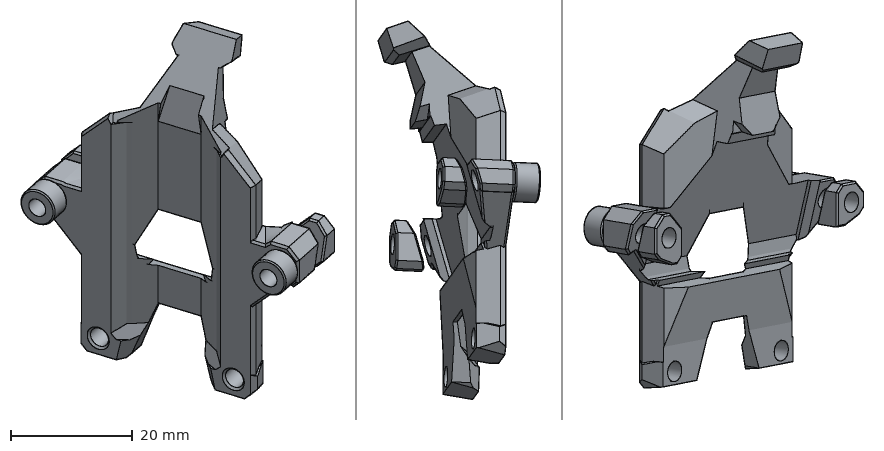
import cadquery as cq
import math

FAR = 80.0
TILT = math.tan(math.radians(16))

PLATE_HALF_WIDTH = 16.55
PLATE_SHOULDER_Z = 41.0
PLATE_TOP_Z = 46.3
SIDE_DRAFT = 15.5
CROWN_DRAFT = 23.0
EDGE_DEPTH = 1.0
EDGE_BEVEL = 25.0
CROWN_HALF_WIDTH = 9.8
NECK_HALF_WIDTH = 6.9
NECK_Z = 47.5
BACK_EDGE_Y = 4.85
BACK_EDGE_X = 15.5
BACK_SLOPE = 0.3

FLOOR_Y = 4.5
FLOOR_HALF_WIDTH = 4.08
SIDE_FOOT_X = 7.8
GROOVE_X = 8.55
CHANNEL_HALF_WIDTH = 10.45
GROOVE_Y = CHANNEL_HALF_WIDTH - GROOVE_X
SIDE_SLOPE = 0.588
SIDE_FOOT_Y = FLOOR_Y - SIDE_SLOPE * (SIDE_FOOT_X - FLOOR_HALF_WIDTH)
GROOVE_TOP_Z = 44.9
GROOVE_END_Z = 4.8
FOOT_FRONT_Z = 3.9

BROW_OFFSET = 44.15
HEAD_TOP_Z = 58.48
HEAD_BACK_Y = 17.74
POCKET_TOP_Z = 51.0
POCKET_FOOT_Z = 45.1
POCKET_TOP_HALF_WIDTH = 3.25

SEAT_Y = 4.5
SEAT_Z = 28.2
SEAT_HALF_WIDTH = 18.9
SEAT_STEP_Y = 12.7
SEAT_STEP_Z = 42.1

LEG_HOLE_X = 12.85
LEG_HOLE_Z = 3.1
BRIDGE_Z = 10.2
LUG_HALF_WIDTH = 16.8

BOLT_X = 22.0
BOLT_Z = 27.55
HOLE_D = 3.4
HOLE_CHAMFER = 0.4
EAR_BACK_Y = 7.36
EAR_BACK_Z = 31.4
EAR_OUTER_X = 25.2
EAR_CHAMFER = 0.4
BACK_CHAMFER = 0.3
HOUSING_SLOPE = -0.4
WEB_OFFSET = 1.6
WEB_TOP_Z = 30.7
HOUSING_X = 19.8
EARS = [(-1, 30.85, 26.3, 19.3), (1, 31.55, 25.2, 18.8)]

SPACER_D = 6.5
SPACER_BORE = 3.2
SPACER_LENGTH = 4.2
SPACER_CHAMFER = 0.25

NUT_BACK_Y = 12.1
NUT_FRONT_Y = 9.6
NUT_CHAMFER = 0.3
NUT_LEFT = [(18.6, 29.6), (19.85, 30.85), (23.2, 30.85), (25.2, 28.85), (25.2, 26.3),
            (24.1, 25.2), (20.6, 23.8), (18.6, 23.8)]
NUT_RIGHT = [(18.7, 28.7), (21.55, 31.55), (23.25, 31.55), (25.2, 29.6), (25.2, 25.2),
             (24.1, 24.1), (21.1, 22.9), (19.8, 22.9), (18.7, 24.0)]


def along_x(points, half_width):
    """Prism along X from (y, z) points, centred on X = 0."""
    return cq.Workplane("YZ").polyline(points).close().extrude(half_width, both=True)


def along_y(points, y_start, y_end):
    """Prism along Y from (x, z) points."""
    plane = cq.Workplane("XZ", origin=(0, y_start, 0))
    return plane.polyline(points).close().extrude(y_start - y_end)


def along_z(points, z_start, z_end):
    """Prism along Z from (x, y) points."""
    plane = cq.Workplane("XY", origin=(0, 0, z_start))
    return plane.polyline(points).close().extrude(z_end - z_start)


def mirrored(half):
    """Closed outline from its right half, listed from one end of the mirror axis to the other."""
    return half + [(-x, v) for x, v in reversed(half)]


def bore(x, z, diameter):
    """Cutter along Y with a chamfered mouth on the front face."""
    hole = cq.Workplane("XZ", origin=(x, -FAR / 2, z)).circle(diameter / 2).extrude(-FAR)
    mouth = (
        cq.Workplane("XZ", origin=(x, 0, z))
        .circle(diameter / 2 + HOLE_CHAMFER)
        .workplane(offset=-HOLE_CHAMFER)
        .circle(diameter / 2)
        .loft(ruled=True)
    )
    return hole.union(mouth)


def leaning_y(y, z, at_z):
    """Y of a face that leans by TILT and passes through (y, z)."""
    return y + TILT * (at_z - z)


def drafted_plate(outline, draft):
    """Thick plate from an (x, z) outline that narrows to the back and has a bevelled front edge."""
    plane = cq.Workplane("XZ", origin=(0, EDGE_DEPTH, 0))
    back = plane.polyline(outline).close().extrude(-10, taper=draft)
    front = plane.polyline(outline).close().extrude(EDGE_DEPTH, taper=EDGE_BEVEL)
    return back.union(front)


def plate_body():
    sides = mirrored([(PLATE_HALF_WIDTH, -5), (PLATE_HALF_WIDTH, FAR)])
    run_out = 20
    crown = mirrored([
        (PLATE_HALF_WIDTH + run_out, -FAR),
        (PLATE_HALF_WIDTH + run_out, PLATE_SHOULDER_Z - run_out),
        (PLATE_HALF_WIDTH - (PLATE_TOP_Z - PLATE_SHOULDER_Z), PLATE_TOP_Z),
        (4.0, 50.2),
    ])
    block = drafted_plate(sides, SIDE_DRAFT).intersect(drafted_plate(crown, CROWN_DRAFT))
    ridge_y = BACK_EDGE_Y + BACK_SLOPE * BACK_EDGE_X
    roof_x = 20
    roof_y = ridge_y - BACK_SLOPE * roof_x
    roof = along_z([(-roof_x, 0), (roof_x, 0), (roof_x, roof_y), (0, ridge_y), (-roof_x, roof_y)], -6, FAR)
    return block.intersect(roof)


def lower_back_cut():
    return along_x([(BACK_EDGE_Y, -10), (BACK_EDGE_Y, 7.5), (6.2, 17.1), (FAR, 17.1), (FAR, -10)], FAR)


def lug(side):
    block = along_y(
        [(side * x, z) for x, z in [(13, -1), (LUG_HALF_WIDTH, -1), (LUG_HALF_WIDTH, 4.3), (16, 5), (13, 5)]],
        0, BACK_EDGE_Y)
    slope = along_z([(side * x, y) for x, y in [(12, 0), (16.15, 0), (LUG_HALF_WIDTH, 1.2),
                                                (15.7, BACK_EDGE_Y), (12, BACK_EDGE_Y)]], -2, 6)
    return block.intersect(slope)


def foot_cut():
    """Trims the feet below a bottom face that rises toward the back."""
    return along_x([(-1, -10), (-1, -0.18), (0, 0), (BACK_EDGE_Y, 0.87), (FAR, 14), (FAR, -10)], FAR)


def leg_opening():
    return along_y(mirrored([(9.4, -10), (8.3, 0.1), (7.5, 0.9), (6.1, 4.7), (FLOOR_HALF_WIDTH, BRIDGE_Z)]),
                   -1, FAR)


def foot_corner(side):
    return along_y([(side * x, z) for x, z in [(15, 0), (20, 5), (20, -10), (15, -10)]], -1, FAR)


def foot_inner_bevel(side):
    """45 degree bevel on the inner front edge of a foot, leaning inward as it rises."""
    foot_x = 9.4
    rise = 3.9
    run = 0.85
    plane = cq.Plane(origin=(side * foot_x, 0, 0), xDir=(side * rise, 0, run), normal=(-side * run, 0, rise))
    size = 3.5
    return (
        cq.Workplane(plane)
        .polyline([(0, 0), (-size, side * size), (-size, -side), (0, -side)])
        .close()
        .extrude(5.5, both=True)
    )


def channel():
    wide = along_z(mirrored([(CHANNEL_HALF_WIDTH + 1, -1), (CHANNEL_HALF_WIDTH, 0), (GROOVE_X, GROOVE_Y),
                             (SIDE_FOOT_X, SIDE_FOOT_Y), (FLOOR_HALF_WIDTH, FLOOR_Y)]), FOOT_FRONT_Z, GROOVE_TOP_Z)
    for side in (-1, 1):
        plane = cq.Plane(origin=(side * CHANNEL_HALF_WIDTH, 0, GROOVE_END_Z), normal=(-side * 1.79, -3.32, 2.0))
        wide = wide.intersect(cq.Workplane(plane).rect(FAR * 2, FAR * 2).extrude(FAR))
    rim_x = FLOOR_HALF_WIDTH + FLOOR_Y / SIDE_SLOPE
    plain = along_z(mirrored([(rim_x - 1, -1), (CROWN_HALF_WIDTH, -1),
                              (CROWN_HALF_WIDTH, SIDE_SLOPE * (rim_x - CROWN_HALF_WIDTH)),
                              (FLOOR_HALF_WIDTH, FLOOR_Y)]), GROOVE_TOP_Z, FAR)
    return wide, plain


def brow_cut():
    """Space in front of the 45 degree face of the hook, as wide as the channel."""
    foot_z = GROOVE_TOP_Z
    space = along_x([(foot_z - BROW_OFFSET, foot_z), (FAR - BROW_OFFSET, FAR), (-FAR, FAR), (-FAR, foot_z)],
                    FAR)
    width = along_y(mirrored([(CHANNEL_HALF_WIDTH, foot_z), (11.25, PLATE_TOP_Z), (11.25, FAR)]), -FAR, FAR)
    return space.intersect(width)


def heel_bevel(side):
    """Cutter that bevels the lowest back corners of the neck."""
    return along_y([(side * x, z) for x, z in [(5.3, 44.9), (2.3, 41.9), (8, 41.9), (8, 44.9)]], 10.75, 20)


def stem():
    """Neck of the hook, tapering upward along its 45 degree front face."""
    foot_y = 0.8
    top_y = 11.5
    profile = along_x([(foot_y, foot_y + BROW_OFFSET), (top_y, top_y + BROW_OFFSET), (13.35, 53.8), (11.4, 48.4),
                       (SEAT_STEP_Y, SEAT_STEP_Z), (SEAT_STEP_Y, 38), (foot_y, 38)], 10)
    narrowing = 0.329
    drop = 10
    rise = 14
    plane = cq.Plane(origin=(0, NECK_Z - BROW_OFFSET, NECK_Z), xDir=(1, 0, 0), normal=(0, -1, 2.55))
    taper = (
        cq.Workplane(plane)
        .polyline(mirrored([(NECK_HALF_WIDTH + narrowing * drop, -drop),
                            (NECK_HALF_WIDTH - narrowing * rise, rise)]))
        .close()
        .extrude(30, both=True)
    )
    body = profile.intersect(taper)
    for side in (-1, 1):
        body = body.cut(heel_bevel(side))
    return body


def hook_head():
    base_z = 54.7
    base_y = base_z - BROW_OFFSET
    profile = along_x([(HEAD_TOP_Z - BROW_OFFSET, HEAD_TOP_Z), (HEAD_BACK_Y, 57.3), (16.6, 53.7), (15.5, 53.1),
                       (base_y, base_z)], 10)
    top = along_z(mirrored([(4.0, 10), (5.65, 11.3), (5.65, 12), (4.15, HEAD_BACK_Y)]), 40, FAR)
    draft = 7
    depth = 12
    lean = cq.Plane(origin=(0, base_y, base_z), xDir=(1, 0, 0), normal=(0, -1, 0.32))
    front = (
        cq.Workplane(lean)
        .polyline(mirrored([(1.6, -2.2), (7, 2.35), (7, 40)]))
        .close()
        .extrude(-depth, taper=draft)
    )
    return profile.intersect(top).intersect(front)


def pocket():
    """Leaning hollow that continues the channel floor into the brow."""
    wall_slope = (POCKET_TOP_Z - BROW_OFFSET - FLOOR_Y) / (POCKET_TOP_Z - POCKET_FOOT_Z)
    profile = along_x([(FLOOR_Y, POCKET_FOOT_Z), (POCKET_TOP_Z - BROW_OFFSET, POCKET_TOP_Z),
                       (FLOOR_Y - wall_slope, POCKET_TOP_Z), (FLOOR_Y - wall_slope, POCKET_FOOT_Z)], 10)
    front = along_y(mirrored([(FLOOR_HALF_WIDTH, POCKET_FOOT_Z), (POCKET_TOP_HALF_WIDTH, POCKET_TOP_Z)]), -1, 20)
    return profile.intersect(front)


def seat():
    """Recess for a leaning plate, open to the back."""
    low_z = 21.4
    stop_z = 41.0
    profile = along_x([
        (leaning_y(SEAT_Y, SEAT_Z, low_z), low_z),
        (leaning_y(SEAT_Y, SEAT_Z, stop_z), stop_z),
        (10.06, 40.8), (10.6, 42.5), (SEAT_STEP_Y, SEAT_STEP_Z), (FAR, SEAT_STEP_Z), (FAR, 12),
        (6.2, 17.1), (3.7, 17.6), (4.1, 18.6), (2.9, 18.75), (2.75, 19.2),
    ], FAR)
    flare_start = 0.65
    flare_end = 2.2
    plane = cq.Plane(origin=(0, SEAT_Y, SEAT_Z), xDir=(1, 0, 0), normal=(0, TILT, 1))
    width = (
        cq.Workplane(plane)
        .polyline(mirrored([(SEAT_HALF_WIDTH, -10), (SEAT_HALF_WIDTH, flare_start),
                            (SEAT_HALF_WIDTH + 1, flare_end), (SEAT_HALF_WIDTH + 1, FAR)]))
        .close()
        .extrude(FAR, both=True)
    )
    return profile.intersect(width)


def ear_outline(side, top_z, low_z, shoulder_x):
    """Outline of one ear; its bolt housing reaches up to top_z and its outer face down to low_z."""
    web_x = 12.0
    corner_x = EAR_OUTER_X - 1.1
    corner_z = low_z - 1.1
    meet_x = (corner_z - HOUSING_SLOPE * corner_x - WEB_OFFSET) / (1 - HOUSING_SLOPE)
    points = [
        (web_x, WEB_TOP_Z), (shoulder_x, WEB_TOP_Z), (HOUSING_X, top_z), (23.2, top_z), (EAR_OUTER_X, top_z - 2),
        (EAR_OUTER_X, low_z), (corner_x, corner_z), (meet_x, meet_x + WEB_OFFSET), (web_x, web_x + WEB_OFFSET),
    ]
    return [(side * x, z) for x, z in points]


def ear_shoulder(side, top_z, shoulder_x):
    """Wedge between web and housing; its slope starts nearer the plate toward the back."""
    depth = 7.0
    back_x = shoulder_x - 0.6 * depth

    def section(x):
        return [(side * x, WEB_TOP_Z), (side * HOUSING_X, top_z), (side * HOUSING_X, WEB_TOP_Z - 1),
                (side * x, WEB_TOP_Z - 1)]

    return (
        cq.Workplane("XZ", origin=(0, EAR_CHAMFER, 0))
        .polyline(section(shoulder_x)).close()
        .workplane(offset=-depth)
        .polyline(section(back_x)).close()
        .loft(ruled=True)
    )


def ear(side, top_z, low_z, shoulder_x):
    body = along_y(ear_outline(side, top_z, low_z, shoulder_x), 0, 20)
    body = body.faces("<Y").chamfer(EAR_CHAMFER)
    back = along_x([(-1, 0), (leaning_y(EAR_BACK_Y, EAR_BACK_Z, 0), 0),
                    (leaning_y(EAR_BACK_Y, EAR_BACK_Z, 50), 50), (-1, 50)], FAR)
    body = body.intersect(back).faces(">Y").chamfer(BACK_CHAMFER)
    return body.union(ear_shoulder(side, top_z, shoulder_x).intersect(back))


def make_bracket():
    wide_channel, plain_channel = channel()
    body = plate_body()
    for side in (-1, 1):
        body = body.union(lug(side))
    body = body.cut(lower_back_cut())
    body = body.union(stem().union(hook_head(), clean=True))
    for side, top_z, low_z, shoulder_x in EARS:
        body = body.union(ear(side, top_z, low_z, shoulder_x))
    for cutter in (seat(), wide_channel, plain_channel, brow_cut(), pocket(), leg_opening(), foot_cut()):
        body = body.cut(cutter)
    for side in (-1, 1):
        body = body.cut(foot_corner(side)).cut(foot_inner_bevel(side))
        body = body.cut(bore(side * LEG_HOLE_X, LEG_HOLE_Z, HOLE_D))
        body = body.cut(bore(side * BOLT_X, BOLT_Z, HOLE_D))
    return body


def make_spacer(side):
    plane = cq.Workplane("XZ", origin=(side * BOLT_X, 0, BOLT_Z))
    barrel = plane.circle(SPACER_D / 2).extrude(SPACER_LENGTH)
    barrel = barrel.faces("<Y or >Y").chamfer(SPACER_CHAMFER)
    return barrel.cut(bore(side * BOLT_X, BOLT_Z, SPACER_BORE))


def make_nut(points, side):
    body = along_y([(side * x, z) for x, z in points], 0, NUT_BACK_Y)
    front = along_x([(leaning_y(NUT_FRONT_Y, EAR_BACK_Z, 0), 0), (leaning_y(NUT_FRONT_Y, EAR_BACK_Z, 50), 50),
                     (FAR, 50), (FAR, 0)], FAR)
    body = body.intersect(front)
    body = body.faces("<Y or >Y").chamfer(NUT_CHAMFER)
    return body.cut(bore(side * BOLT_X, BOLT_Z, HOLE_D))


bracket = make_bracket()
spacers = [make_spacer(side) for side in (-1, 1)]
nuts = [make_nut(NUT_LEFT, -1), make_nut(NUT_RIGHT, 1)]

result = cq.Compound.makeCompound(
    [bracket.val()] + [spacer.val() for spacer in spacers] + [nut.val() for nut in nuts]
)